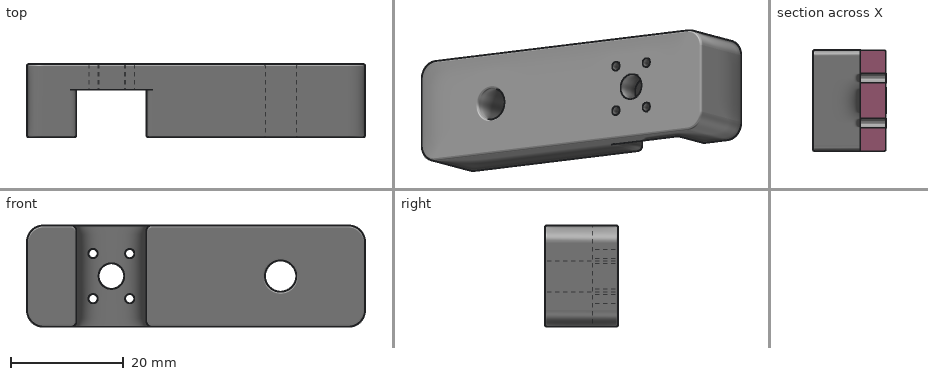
import cadquery as cq

LENGTH = 60.0
DEPTH = 13.0
HEIGHT = 18.0
CORNER_RADIUS = 3.0
EDGE_FILLET = 0.4

SLOT_WIDTH = 12.4
SLOT_FLOOR_THICKNESS = 4.6
SLOT_DEPTH = DEPTH - SLOT_FLOOR_THICKNESS
SLOT_EDGE_RADIUS = 1.0

SLOT_CENTER_X = -LENGTH / 4
MAIN_HOLE_X = LENGTH / 4
MAIN_HOLE_DIAMETER = 5.5
CENTER_HOLE_DIAMETER = 4.5
SCREW_HOLE_DIAMETER = 1.6
SCREW_SPACING_X = 6.5
SCREW_SPACING_Z = 8.0

FRONT_Y = -DEPTH / 2
SLOT_FLOOR_Y = FRONT_Y + SLOT_DEPTH


def slotted_block():
    """Block with rounded ends and a full-height slot cut into its front."""
    block = cq.Workplane("XY").box(LENGTH, DEPTH, HEIGHT)
    block = block.edges("|Y").fillet(CORNER_RADIUS)
    slot = (
        cq.Workplane("XY")
        .box(SLOT_WIDTH, SLOT_DEPTH, HEIGHT)
        .translate((SLOT_CENTER_X, FRONT_Y + SLOT_DEPTH / 2, 0))
    )
    return block.cut(slot)


def round_slot_mouth(body):
    """Round the slot walls where they meet the top and bottom faces."""
    reach_x = SLOT_WIDTH / 2 + SLOT_EDGE_RADIUS
    around_slot = cq.selectors.BoxSelector(
        (SLOT_CENTER_X - reach_x, FRONT_Y, -HEIGHT),
        (SLOT_CENTER_X + reach_x, SLOT_FLOOR_Y, HEIGHT),
    )
    return body.edges("|Y").edges(around_slot).fillet(SLOT_EDGE_RADIUS)


def hole_along_y(x, z, diameter):
    """Cylinder that passes through the full depth of the block."""
    cylinder = cq.Solid.makeCylinder(
        diameter / 2, DEPTH, cq.Vector(x, FRONT_Y, z), cq.Vector(0, 1, 0)
    )
    return cq.Workplane(obj=cylinder)


def cut_slot_holes(body):
    """Central hole and four screw holes through the slot floor."""
    body = body.cut(hole_along_y(SLOT_CENTER_X, 0, CENTER_HOLE_DIAMETER))
    for side_x in (-1, 1):
        for side_z in (-1, 1):
            x = SLOT_CENTER_X + side_x * SCREW_SPACING_X / 2
            z = side_z * SCREW_SPACING_Z / 2
            body = body.cut(hole_along_y(x, z, SCREW_HOLE_DIAMETER))
    return body


body = slotted_block()
body = round_slot_mouth(body)
body = body.cut(hole_along_y(MAIN_HOLE_X, 0, MAIN_HOLE_DIAMETER))
body = body.faces("<Y or >Y").edges().fillet(EDGE_FILLET)
result = cut_slot_holes(body)